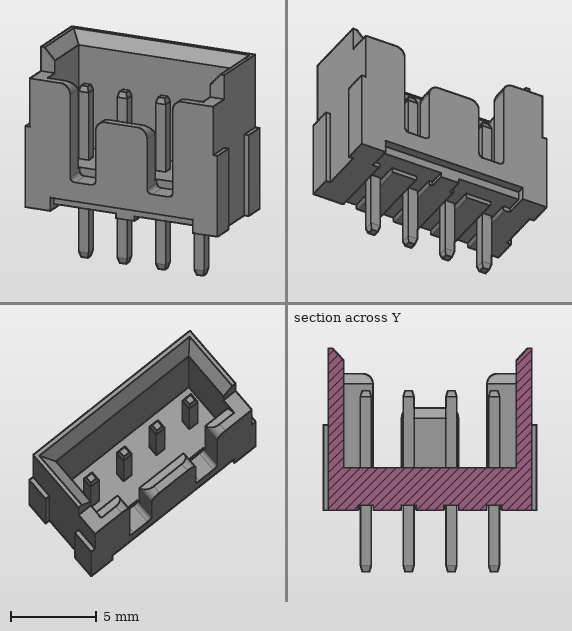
import cadquery as cq


ear_thickness = 0.29
width_over_ears = 12.5
width = width_over_ears - 2 * ear_thickness
depth = 5.7
height = 9.5
overall_height = 13.1
ear_height = 5.0
ear_depth = 1.5
front_step_depth = ear_depth
front_step_drop = 1.49

cavity_width = 10.09
back_wall = 1.0
front_wall = 1.11
floor_height = 2.5
side_rim = 0.25
back_rim = 0.28
rim_bevel_height = 0.72
front_lip = 0.52
front_bevel_height = 0.6

pin_count = 4
pitch = 2.5
pin_row_y = 3.01
pin_size = 0.64
pin_tip_size = 0.42
pin_top = 7.01
pin_bottom = height - overall_height
pin_top_taper = 0.34
pin_bottom_taper = 0.38

slot_width = 1.66
slot_spacing = 2 * pitch
opening_width = slot_spacing + slot_width
tongue_width = slot_spacing - slot_width
slot_depth = 1.3
slot_floor = 2.0
slot_floor_radius = 0.3
tongue_drop = 2.0
edge_radius = 0.6

recess_width = 9.25
recess_height = 0.83
recess_depth = 0.5
foot_height = 0.29
foot_front_y = ear_depth
center_foot_width = 1.2
channel_width = 0.84
foot_radius = 0.1

cavity_top_front = height - front_step_drop
tongue_top = cavity_top_front - tongue_drop
pin_positions = [(i - (pin_count - 1) / 2) * pitch for i in range(pin_count)]


def block(x_size, y_start, y_end, z_start, z_end, x_center=0):
    """Box centred on x_center, between the given Y and Z limits."""
    box = cq.Workplane("XY").box(x_size, y_end - y_start, z_end - z_start, centered=(True, False, False))
    return box.translate((x_center, y_start, z_start))


def outer_body():
    """Plain housing with four corner ears and a lowered front."""
    body = block(width, 0, depth, 0, height)
    body = body.union(block(width_over_ears, 0, ear_depth, 0, ear_height))
    body = body.union(block(width_over_ears, depth - ear_depth, depth, 0, ear_height))
    return body.cut(block(width_over_ears, 0, front_step_depth, cavity_top_front, height))


def cavity():
    """Mating cavity, flared at the rim along the two sides and the back."""
    cavity_back = depth - back_wall
    straight = block(cavity_width, front_wall, cavity_back, floor_height, height)
    rim_back = depth - back_rim
    rim_width = width - 2 * side_rim
    flare = (
        cq.Workplane("XY", origin=(0, 0, height - rim_bevel_height))
        .center(0, cavity_back / 2)
        .rect(cavity_width, cavity_back)
        .workplane(offset=rim_bevel_height)
        .center(0, (rim_back - cavity_back) / 2)
        .rect(rim_width, rim_back)
        .loft(ruled=True)
    )
    return straight.union(flare)


def front_bevel(wall_top, bevel_width):
    """Lead-in wedge on the inner top edge of the front wall."""
    return (
        cq.Workplane("YZ")
        .moveTo(front_lip, wall_top)
        .lineTo(front_wall, wall_top)
        .lineTo(front_wall, wall_top - front_bevel_height)
        .close()
        .extrude(bevel_width / 2, both=True)
    )


def front_opening():
    """Two rounded slots joined above a lower central tongue."""
    opening = block(opening_width, 0, slot_depth, slot_floor, cavity_top_front)
    tongue = block(tongue_width, 0, slot_depth, slot_floor, tongue_top)
    tongue = tongue.edges("|Y and >Z").fillet(edge_radius)
    opening = opening.cut(tongue)
    return opening.edges("|Y and <Z").fillet(slot_floor_radius)


def underside():
    """Front recess, with a stepped gap and channels between the feet."""
    recess = block(recess_width, 0, recess_depth, 0, recess_height)
    gap = block(recess_width, 0, foot_front_y, 0, foot_height)
    center_foot = block(center_foot_width, recess_depth, foot_front_y, 0, foot_height)
    return recess.union(gap.cut(center_foot))


def pin_channel(x):
    """Channel across the underside, flared by the rounded feet beside it."""
    half = channel_width / 2
    flared = half + foot_radius
    return (
        cq.Workplane("XZ")
        .moveTo(x - flared, 0)
        .radiusArc((x - half, foot_radius), -foot_radius)
        .lineTo(x - half, foot_height)
        .lineTo(x + half, foot_height)
        .lineTo(x + half, foot_radius)
        .radiusArc((x + flared, 0), -foot_radius)
        .close()
        .extrude(-depth)
    )


def pin_taper(x, z_start, length):
    """Tapered pin end; a negative length points it downwards."""
    return (
        cq.Workplane("XY", origin=(x, pin_row_y, z_start))
        .rect(pin_size, pin_size)
        .workplane(offset=length)
        .rect(pin_tip_size, pin_tip_size)
        .loft(ruled=True)
    )


def pin(x):
    """Square pin through the cavity floor, tapered at both ends."""
    shaft_top = pin_top - pin_top_taper
    shaft_bottom = pin_bottom + pin_bottom_taper
    half = pin_size / 2
    shaft = block(pin_size, pin_row_y - half, pin_row_y + half, shaft_bottom, shaft_top, x)
    shaft = shaft.union(pin_taper(x, shaft_top, pin_top_taper))
    return shaft.union(pin_taper(x, shaft_bottom, -pin_bottom_taper))


def rounded_opening_corners():
    """Material removed where the outer slot walls curve into the front top edge."""
    outer_x = opening_width / 2
    flared_x = outer_x + edge_radius
    start_z = cavity_top_front - edge_radius
    return (
        cq.Workplane("XZ")
        .moveTo(-flared_x, cavity_top_front)
        .radiusArc((-outer_x, start_z), edge_radius)
        .lineTo(outer_x, start_z)
        .radiusArc((flared_x, cavity_top_front), edge_radius)
        .close()
        .extrude(-slot_depth)
    )


housing = outer_body().cut(cavity())
housing = housing.cut(front_bevel(cavity_top_front, cavity_width))
housing = housing.cut(front_opening()).cut(rounded_opening_corners())
housing = housing.cut(front_bevel(tongue_top, tongue_width))
housing = housing.cut(underside())
for pin_x in pin_positions:
    housing = housing.cut(pin_channel(pin_x))
for pin_x in pin_positions:
    housing = housing.union(pin(pin_x))

result = housing